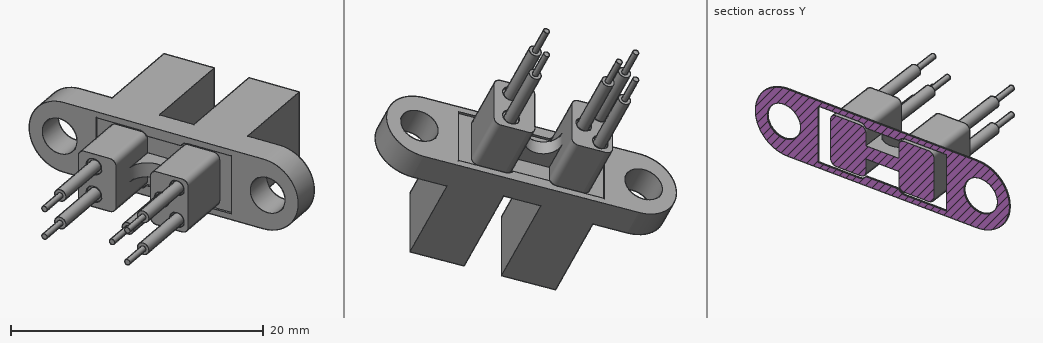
import cadquery as cq


flange_length = 24.63
height = 6.35
flange_thickness = 2.59
mount_hole_spacing = 19.05
mount_hole_diameter = 3.18

arm_reach = 10.81
arms_width = 12.4
slot_width = 3.15
slot_floor = 2.07

recess_depth = 0.2
recess_height = 5.27
recess_neck_height = 4.53
recess_inner_gap = 3.0
recess_corner_radius = 0.71

block_length = 4.83
block_width = 3.45
block_height = 4.83
block_corner_radius = 0.57

bridge_height = 1.28
bridge_cutout_crown = 1.0

sleeve_end = 10.17
wire_end = 12.68
sleeve_radius = 0.52
wire_radius = 0.25
hole_depth = 0.2

emitter_hole_radius = 0.71
emitter_x = -3.6
emitter_z = 1.25

detector_hole_radius = 0.67
detector_inner_x = 2.59
detector_outer_x = 4.0
detector_z = 1.45

block_inner_x = slot_width / 2
block_center_x = block_inner_x + block_width / 2


def box_between(width, y_start, y_end, box_height, center_x=0):
    """Box centred on Z = 0 that spans two Y positions."""
    return (
        cq.Workplane("XY")
        .box(width, y_end - y_start, box_height)
        .translate((center_x, (y_start + y_end) / 2, 0))
    )


def rod(x, z, radius, y_start, y_end):
    """Cylinder along Y between two Y positions."""
    length = y_end - y_start
    start = cq.Vector(x, y_start, z)
    direction = cq.Vector(0, 1, 0)
    return cq.Workplane(cq.Solid.makeCylinder(radius, length, start, direction))


def make_housing():
    """Flange with mounting holes and the two sensing arms."""
    flange = (
        cq.Workplane("XZ")
        .slot2D(flange_length, height)
        .pushPoints([(-mount_hole_spacing / 2, 0), (mount_hole_spacing / 2, 0)])
        .circle(mount_hole_diameter / 2)
        .extrude(-flange_thickness)
    )
    arms = box_between(arms_width, 0, arm_reach, height)
    slot = box_between(slot_width, slot_floor, arm_reach, height)
    return flange.union(arms).cut(slot)


def make_recess():
    """Two wide pockets, rounded towards the middle, joined by a neck."""
    pocket_width = (arms_width - recess_inner_gap) / 2
    pocket_center_x = (arms_width + recess_inner_gap) / 4
    neck_width = recess_inner_gap + 2 * recess_corner_radius
    recess = box_between(neck_width, 0, recess_depth, recess_neck_height)
    for side, inner_edges in ((-1, "|Y and >X"), (1, "|Y and <X")):
        pocket = box_between(pocket_width, 0, recess_depth, recess_height, side * pocket_center_x)
        recess = recess.union(pocket.edges(inner_edges).fillet(recess_corner_radius))
    return recess


def make_block(side):
    """Lead block with rounded long edges, standing on the recess floor."""
    block = box_between(block_width, -block_length, recess_depth, block_height, side * block_center_x)
    return block.edges("|Y").fillet(block_corner_radius)


def make_bridge():
    """Thin web between the blocks that ends in a concave semicircle."""
    cutout_radius = slot_width / 2
    cutout_center_y = -bridge_cutout_crown - cutout_radius
    web_width = 2 * (block_inner_x + block_corner_radius)
    web = box_between(web_width, cutout_center_y, recess_depth, bridge_height)
    cutout = (
        cq.Workplane("XY", origin=(0, cutout_center_y, -bridge_height / 2))
        .circle(cutout_radius)
        .extrude(bridge_height)
    )
    return web.cut(cutout)


def add_lead(body, x, z, hole_radius):
    """Sink a clearance hole in the block face and stand a lead on its floor."""
    hole_floor = hole_depth - block_length
    hole = rod(x, z, hole_radius, -block_length, hole_floor)
    sleeve = rod(x, z, sleeve_radius, -sleeve_end, hole_floor)
    wire = rod(x, z, wire_radius, -wire_end, -sleeve_end)
    return body.cut(hole).union(sleeve).union(wire)


result = make_housing().cut(make_recess())
for block_side in (-1, 1):
    result = result.union(make_block(block_side))
result = result.union(make_bridge())

for lead_z in (-emitter_z, emitter_z):
    result = add_lead(result, emitter_x, lead_z, emitter_hole_radius)

detector_leads = [
    (detector_inner_x, 0),
    (detector_outer_x, -detector_z),
    (detector_outer_x, detector_z),
]
for lead_x, lead_z in detector_leads:
    result = add_lead(result, lead_x, lead_z, detector_hole_radius)